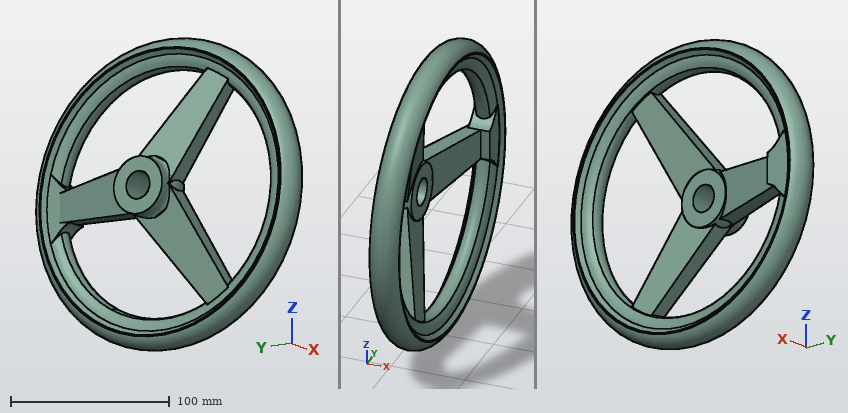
import cadquery as cq

WHEEL_LENGTH = 44.5
WHEEL_RADIUS = 100.0

RIM_WIDTH = 20.0
RIM_FRONT = WHEEL_LENGTH - RIM_WIDTH
RIM_MIDDLE = WHEEL_LENGTH - RIM_WIDTH / 2
GRIP_EDGE_RADIUS = 92.8
GRIP_LIP_RADIUS = 91.8
CORE_OUTER_RADIUS = 88.8
CORE_FRONT = 27.2
CORE_ARC_MIDDLE = (28.2, 84.0)
CORE_ARC_END = (29.8, 81.2)
RIM_INNER_RADIUS = 79.6

HUB_RADIUS = 37.0 / 2
BORE_RADIUS = 18.0 / 2
HUB_LENGTH = 24.0
COLLAR_LENGTH = 6.0
FLARE_END = 10.5
FLARE_OUTER_RADIUS = 20.8
FLARE_ARC_MIDDLE = (8.8, 19.2)
BARREL_START = 8.8
BARREL_END_RADIUS = 18.8
BARREL_MIDDLE_RADIUS = 20.2

SPOKE_COUNT = 3
SPOKE_END_RADIUS = 83.6
SPOKE_AXIS_HALF_WIDTH = 16.8
SPOKE_END_HALF_WIDTH = 9.2
SPOKE_AXIS_FRONT = 4.6
SPOKE_END_FRONT = 28.6
SPOKE_AXIS_BACK = 18.8
SPOKE_END_BACK = 39.0

WEB_BACK = 42.0
WEB_FLARE_START = 71.2
WEB_FLARE_MIDDLE = (75.2, 12.2)
WEB_FLARE_END = (78.5, 14.8)
WEB_OUTER = (85.2, 22.0)


def mirrored(point):
    """Reflect an (x, radius) rim point across the rim's middle plane."""
    return (2 * RIM_MIDDLE - point[0], point[1])


def spoke_half_width(radius):
    taper = (SPOKE_END_HALF_WIDTH - SPOKE_AXIS_HALF_WIDTH) / SPOKE_END_RADIUS
    return SPOKE_AXIS_HALF_WIDTH + taper * radius


def revolve_about_x(profile):
    return profile.close().revolve(360, (0, 0, 0), (1, 0, 0))


def make_rim():
    grip_edge = (RIM_FRONT, GRIP_EDGE_RADIUS)
    grip_lip = (RIM_FRONT, GRIP_LIP_RADIUS)
    core_start = (CORE_FRONT, CORE_OUTER_RADIUS)
    profile = (
        cq.Workplane("XY")
        .moveTo(*grip_edge)
        .threePointArc((RIM_MIDDLE, WHEEL_RADIUS), mirrored(grip_edge))
        .lineTo(*mirrored(grip_lip))
        .lineTo(*mirrored(core_start))
        .threePointArc(mirrored(CORE_ARC_MIDDLE), mirrored(CORE_ARC_END))
        .threePointArc((RIM_MIDDLE, RIM_INNER_RADIUS), CORE_ARC_END)
        .threePointArc(CORE_ARC_MIDDLE, core_start)
        .lineTo(*grip_lip)
    )
    return revolve_about_x(profile)


def make_spoke_outline():
    """Tapered outline of the +Y spoke, carried through the whole wheel length."""
    return (
        cq.Workplane("YZ")
        .polyline([
            (0, -SPOKE_AXIS_HALF_WIDTH),
            (SPOKE_END_RADIUS, -SPOKE_END_HALF_WIDTH),
            (SPOKE_END_RADIUS, SPOKE_END_HALF_WIDTH),
            (0, SPOKE_AXIS_HALF_WIDTH),
        ])
        .close()
        .extrude(WHEEL_LENGTH)
    )


def make_spoke():
    """The +Y spoke: its sloping side profile trimmed by its tapered outline."""
    side = (
        cq.Workplane("XY")
        .polyline([
            (SPOKE_AXIS_FRONT, 0),
            (SPOKE_END_FRONT, SPOKE_END_RADIUS),
            (SPOKE_END_BACK, SPOKE_END_RADIUS),
            (SPOKE_AXIS_BACK, 0),
        ])
        .close()
        .extrude(SPOKE_AXIS_HALF_WIDTH, both=True)
    )
    return side.intersect(make_spoke_outline())


def make_spokes(spoke):
    """Repeat a +Y spoke evenly around the wheel axis."""
    spokes = spoke
    for index in range(1, SPOKE_COUNT):
        angle = index * 360 / SPOKE_COUNT
        spokes = spokes.union(spoke.rotate((0, 0, 0), (1, 0, 0), angle))
    return spokes


def make_hub():
    """Cylindrical front collar and the barrel-shaped body between the spokes."""
    collar = cq.Workplane("YZ").circle(HUB_RADIUS).extrude(HUB_LENGTH)
    barrel_middle = ((BARREL_START + HUB_LENGTH) / 2, BARREL_MIDDLE_RADIUS)
    barrel = revolve_about_x(
        cq.Workplane("XY")
        .moveTo(BARREL_START, 0)
        .lineTo(BARREL_START, BARREL_END_RADIUS)
        .threePointArc(barrel_middle, (HUB_LENGTH, BARREL_END_RADIUS))
        .lineTo(HUB_LENGTH, 0)
    )
    return collar.union(barrel)


def make_flare():
    """Concave ring easing the hub collar into the spoke fronts."""
    ring = revolve_about_x(
        cq.Workplane("XY")
        .moveTo(COLLAR_LENGTH, 0)
        .lineTo(COLLAR_LENGTH, HUB_RADIUS)
        .threePointArc(FLARE_ARC_MIDDLE, (FLARE_END, FLARE_OUTER_RADIUS))
        .lineTo(FLARE_END, 0)
    )
    return ring.intersect(make_spokes(make_spoke_outline()))


def make_web():
    """Flat plate filling the corners between the +Y spoke and the rim."""
    flare_start = (WEB_FLARE_START, spoke_half_width(WEB_FLARE_START))
    upper_half = (
        cq.Workplane("YZ", origin=(CORE_FRONT, 0, 0))
        .moveTo(WEB_FLARE_START, 0)
        .lineTo(*flare_start)
        .threePointArc(WEB_FLARE_MIDDLE, WEB_FLARE_END)
        .lineTo(*WEB_OUTER)
        .lineTo(CORE_OUTER_RADIUS, WEB_OUTER[1])
        .lineTo(CORE_OUTER_RADIUS, 0)
        .close()
        .extrude(WEB_BACK - CORE_FRONT)
    )
    inside_rim = cq.Workplane("YZ").circle(CORE_OUTER_RADIUS).extrude(WHEEL_LENGTH)
    return upper_half.union(upper_half.mirror("XY")).intersect(inside_rim)


wheel = make_rim().union(make_spokes(make_spoke())).union(make_hub())
wheel = wheel.union(make_flare()).union(make_web())
bore = cq.Workplane("YZ").circle(BORE_RADIUS).extrude(WHEEL_LENGTH)
result = wheel.cut(bore)